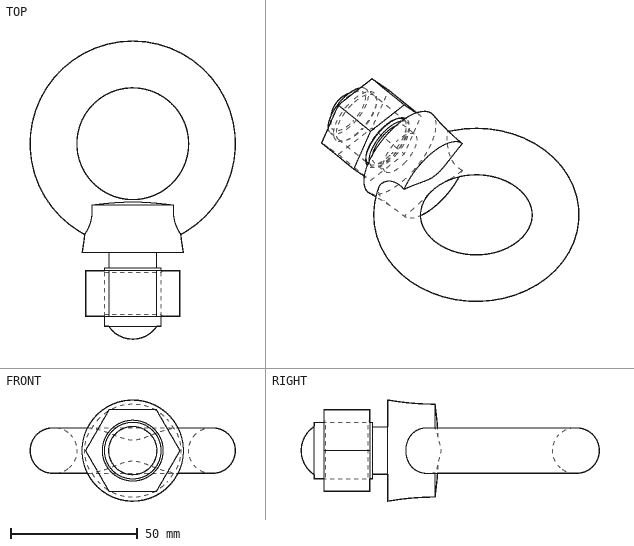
import cadquery as cq
import math

ring_outer_radius = 40.48
ring_inner_radius = 22.0
ring_thickness = 18.0

collar_base_y = -42.9
collar_shoulder_y = -24.2
collar_base_radius = 20.0
collar_shoulder_radius = 18.3
collar_flank_sag = 0.41
collar_crown_height = 1.3

neck_end_y = -48.9
neck_radius = 9.4
thread_end_y = -71.9
thread_radius = 11.2
tip_y = ring_outer_radius - 117.5
tip_base_radius = 9.5

nut_top_y = -49.9
nut_height = 18.1
nut_across_flats = 32.2
countersink_radius = 12.0
countersink_depth = 0.7


def make_ring():
    """Ring with semicircular inner and outer sides joined by narrow flats."""
    half_thickness = ring_thickness / 2
    inner_flat_radius = ring_inner_radius + half_thickness
    outer_flat_radius = ring_outer_radius - half_thickness
    return (
        cq.Workplane("XZ")
        .moveTo(inner_flat_radius, -half_thickness)
        .lineTo(outer_flat_radius, -half_thickness)
        .threePointArc((ring_outer_radius, 0), (outer_flat_radius, half_thickness))
        .lineTo(inner_flat_radius, half_thickness)
        .threePointArc((ring_inner_radius, 0), (inner_flat_radius, -half_thickness))
        .close()
        .revolve(360, (0, 0, 0), (0, 1, 0))
    )


def make_collar():
    """Collar with a hollow-curved flank and a domed crown."""
    flank_middle = (
        (collar_base_radius + collar_shoulder_radius) / 2 - collar_flank_sag,
        (collar_base_y + collar_shoulder_y) / 2,
    )
    crown_y = collar_shoulder_y + collar_crown_height
    crown_sphere_radius = (collar_shoulder_radius**2 + collar_crown_height**2) / (2 * collar_crown_height)
    crown_middle_x = collar_shoulder_radius / 2
    crown_middle_y = crown_y - crown_sphere_radius + math.sqrt(crown_sphere_radius**2 - crown_middle_x**2)
    return (
        cq.Workplane("XY")
        .moveTo(0, collar_base_y)
        .lineTo(collar_base_radius, collar_base_y)
        .threePointArc(flank_middle, (collar_shoulder_radius, collar_shoulder_y))
        .threePointArc((crown_middle_x, crown_middle_y), (0, crown_y))
        .close()
        .revolve(360, (0, 0, 0), (0, 1, 0))
    )


def make_stud():
    """Neck, thread envelope and domed tip, revolved about Y."""
    tip_height = thread_end_y - tip_y
    tip_sphere_radius = (tip_base_radius**2 + tip_height**2) / (2 * tip_height)
    tip_middle_x = tip_base_radius / 2
    tip_middle_y = tip_y + tip_sphere_radius - math.sqrt(tip_sphere_radius**2 - tip_middle_x**2)
    return (
        cq.Workplane("XY")
        .moveTo(0, collar_base_y)
        .lineTo(neck_radius, collar_base_y)
        .lineTo(neck_radius, neck_end_y)
        .lineTo(thread_radius, neck_end_y)
        .lineTo(thread_radius, thread_end_y)
        .lineTo(tip_base_radius, thread_end_y)
        .threePointArc((tip_middle_x, tip_middle_y), (0, tip_y))
        .close()
        .revolve(360, (0, 0, 0), (0, 1, 0))
    )


def make_eye_bolt():
    """Ring, collar and stud as one forged body."""
    return make_ring().union(make_collar()).union(make_stud())


def make_nut():
    """Hexagon nut with corners on the X axis and a bore countersunk at both ends."""
    across_corners = nut_across_flats / math.cos(math.pi / 6)
    nut_bottom_y = nut_top_y - nut_height
    blank = (
        cq.Workplane("XZ", origin=(0, nut_top_y, 0))
        .polygon(6, across_corners)
        .extrude(nut_height)
    )
    bore = (
        cq.Workplane("XY")
        .moveTo(0, nut_top_y)
        .lineTo(countersink_radius, nut_top_y)
        .lineTo(thread_radius, nut_top_y - countersink_depth)
        .lineTo(thread_radius, nut_bottom_y + countersink_depth)
        .lineTo(countersink_radius, nut_bottom_y)
        .lineTo(0, nut_bottom_y)
        .close()
        .revolve(360, (0, 0, 0), (0, 1, 0))
    )
    return blank.cut(bore)


eye_bolt = make_eye_bolt()
nut = make_nut()

result = cq.Compound.makeCompound([eye_bolt.val(), nut.val()])